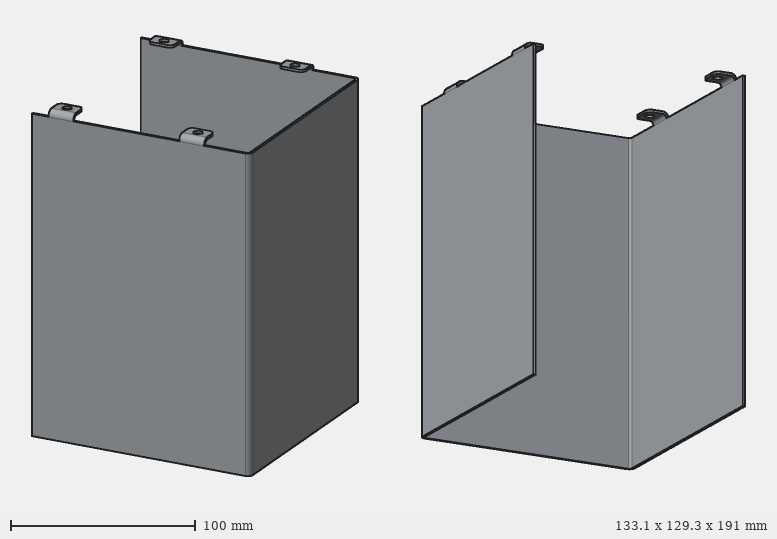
import cadquery as cq

length = 133.1
width = 129.3
total_height = 191.0
thickness = 1.5
outer_bend_radius = 3.0
inner_bend_radius = outer_bend_radius - thickness

tab_bend_radius = 3.8
tab_rise = tab_bend_radius
tab_width = 15.0
tab_reach = 12.6
tab_corner_radius = 3.0
first_tab_center = 17.5
tab_pitch = 79.8
hole_diameter = 5.2
hole_from_outer_face = 7.6

wall_height = total_height - tab_rise


def make_walls():
    """U-shaped shell, open at the -X end, with rounded bends at the +X end."""
    outer = (
        cq.Workplane("XY")
        .box(length, width, wall_height, centered=(False, True, False))
        .edges("|Z and >X")
        .fillet(outer_bend_radius)
    )
    inner = (
        cq.Workplane("XY")
        .box(length - thickness, width - 2 * thickness, wall_height, centered=(False, True, False))
        .edges("|Z and >X")
        .fillet(inner_bend_radius)
    )
    return outer.cut(inner)


def make_tab(center_x):
    """Tab bent inward at the top of the -Y wall, with a rounded end and a hole."""
    outer_face = -width / 2
    tip = outer_face + tab_reach
    bend_end = outer_face + tab_bend_radius
    tab = (
        cq.Workplane("YZ", origin=(center_x, 0, 0))
        .moveTo(outer_face, wall_height)
        .radiusArc((bend_end, total_height), tab_bend_radius)
        .lineTo(tip, total_height)
        .lineTo(tip, total_height - thickness)
        .lineTo(bend_end, total_height - thickness)
        .radiusArc((outer_face + thickness, wall_height), thickness - tab_bend_radius)
        .close()
        .extrude(tab_width / 2, both=True)
        .edges("|Z and >Y")
        .fillet(tab_corner_radius)
    )
    hole = (
        cq.Workplane("XY", origin=(center_x, outer_face + hole_from_outer_face, wall_height))
        .circle(hole_diameter / 2)
        .extrude(tab_rise)
    )
    return tab.cut(hole)


result = make_walls()
for tab_center in (first_tab_center, first_tab_center + tab_pitch):
    tab = make_tab(tab_center)
    result = result.union(tab).union(tab.mirror("XZ"))